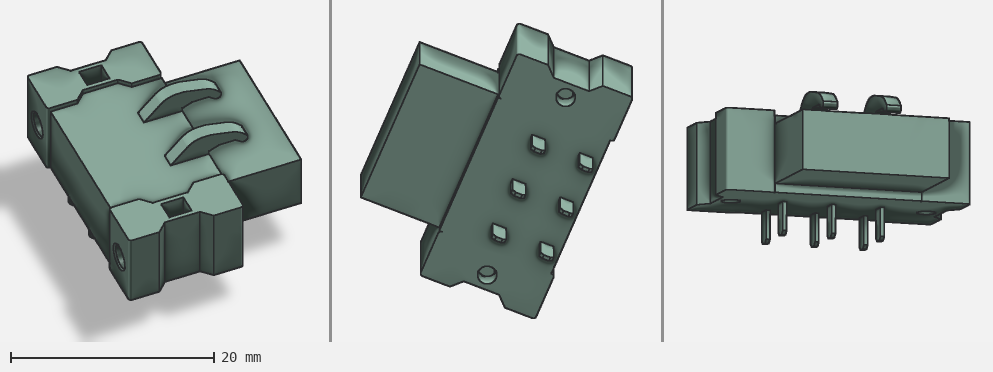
import cadquery as cq


overall_width = 25.4
flange_width = 5.08
flange_depth = 12.3
flange_height = 8.2
flange_x = (overall_width - flange_width) / 2
flange_end = 3.23
waist_step = 1.05
corner_radius = 0.3

block_width = overall_width - 2 * flange_width
block_front = 0.35
block_height = 7.7

overall_depth = 20.65
shroud_bottom = 0.9
shroud_top = 6.88

screw_hole_diameter = 2.5
screw_hole_chamfer = 0.18
screw_hole_z = 3.73
screw_hole_depth = 3.8
nut_slot_width = 2.03
nut_slot_length = 2.4
nut_slot_floor = 2.03
mount_hole_diameter = 1.88
hole_y = flange_depth / 2

latch_width = 1.5
latch_spacing = 6.6
latch_front = 8.18
latch_slope = 1.83
shoulder_middle = (10.77, 10.03)
crest_front = (11.68, 10.24)
crest_rear = (12.47, 10.24)
back_top = (12.65, 10.2)
back_bottom = (14.73, 9.75)
nose_middle = (15.5, 9.45)
nose_end = (16.1, 8.97)
tip_top = (16.43, 8.64)
tip_middle = (16.4, 8.18)
tip_bottom = (15.77, 8.03)
underside_z = 8.5
underside_rear = 15.15
underside_front = 13.35
latch_root_z = 8.05

pin_columns = 3
pin_rows = 2
pin_pitch = 5.08
pin_front_y = 1.93
pin_thickness = 0.4
pin_depth = 1.4
pin_length = 3.25
pin_tip_chamfer = 0.35


def make_flange(center_x):
    half = flange_width / 2
    waist = half - waist_step
    waist_start = flange_end + waist_step
    outline = [
        (-half, 0),
        (half, 0),
        (half, flange_end),
        (waist, waist_start),
        (waist, flange_depth - waist_start),
        (half, flange_depth - flange_end),
        (half, flange_depth),
        (-half, flange_depth),
        (-half, flange_depth - flange_end),
        (-waist, flange_depth - waist_start),
        (-waist, waist_start),
        (-half, flange_end),
    ]
    flange = cq.Workplane("XY").polyline(outline).close().extrude(flange_height)
    end_corners = flange.faces("<Y or >Y").edges("|Z")
    flange = flange.newObject(end_corners.vals()).fillet(corner_radius)
    return flange.translate((center_x, 0, 0))


def cut_flange_holes(body, center_x):
    screw_hole = (
        cq.Workplane("XZ", origin=(center_x, 0, screw_hole_z))
        .circle(screw_hole_diameter / 2)
        .extrude(-screw_hole_depth)
    )
    countersink = cq.Workplane("XY").newObject([
        cq.Solid.makeCone(
            screw_hole_diameter / 2 + screw_hole_chamfer,
            screw_hole_diameter / 2,
            screw_hole_chamfer,
            cq.Vector(center_x, 0, screw_hole_z),
            cq.Vector(0, 1, 0),
        )
    ])
    nut_slot = (
        cq.Workplane("XY", origin=(center_x, hole_y, nut_slot_floor))
        .rect(nut_slot_width, nut_slot_length)
        .extrude(flange_height - nut_slot_floor)
    )
    mount_hole = (
        cq.Workplane("XY", origin=(center_x, hole_y, 0))
        .circle(mount_hole_diameter / 2)
        .extrude(flange_height)
    )
    return body.cut(screw_hole).cut(countersink).cut(nut_slot).cut(mount_hole)


def make_latch(center_x):
    """Hook profile in the YZ plane, extruded across X; it overhangs the shroud."""
    shoulder_start = (latch_front + latch_slope, block_height + latch_slope)
    return (
        cq.Workplane("YZ", origin=(center_x, 0, 0))
        .moveTo(latch_front, block_height)
        .lineTo(*shoulder_start)
        .threePointArc(shoulder_middle, crest_front)
        .lineTo(*crest_rear)
        .lineTo(*back_top)
        .lineTo(*back_bottom)
        .threePointArc(nose_middle, nose_end)
        .lineTo(*tip_top)
        .threePointArc(tip_middle, tip_bottom)
        .lineTo(underside_rear, underside_z)
        .lineTo(underside_front, underside_z)
        .lineTo(flange_depth, latch_root_z)
        .lineTo(flange_depth, block_height)
        .close()
        .extrude(latch_width / 2, both=True)
    )


def make_housing():
    main_block = cq.Workplane("XY").box(
        block_width, flange_depth - block_front, block_height, centered=(True, False, False)
    ).translate((0, block_front, 0))
    waist_fill = cq.Workplane("XY", origin=(0, hole_y, 0)).box(
        block_width + 2 * waist_step, flange_depth - 2 * flange_end, block_height,
        centered=(True, True, False),
    )
    shroud = cq.Workplane("XY").box(
        block_width, overall_depth - flange_depth, shroud_top - shroud_bottom,
        centered=(True, False, False),
    ).translate((0, flange_depth, shroud_bottom))
    housing = main_block.union(waist_fill).union(shroud)
    for side in (-1, 1):
        housing = housing.union(make_flange(side * flange_x))
        housing = housing.union(make_latch(side * latch_spacing / 2))
    for side in (-1, 1):
        housing = cut_flange_holes(housing, side * flange_x)
    return housing


def make_pin(center_x, center_y):
    pin = cq.Workplane("XY").box(
        pin_thickness, pin_depth, pin_length, centered=(True, True, False)
    )
    pin = pin.faces("<Z").edges("|X").chamfer(pin_tip_chamfer)
    return pin.translate((center_x, center_y, -pin_length))


housing = make_housing()

pins = []
for column in range(pin_columns):
    for row in range(pin_rows):
        pin_x = (column - (pin_columns - 1) / 2) * pin_pitch
        pin_y = pin_front_y + row * pin_pitch
        pins.append(make_pin(pin_x, pin_y).val())

result = cq.Compound.makeCompound([housing.val(), *pins])